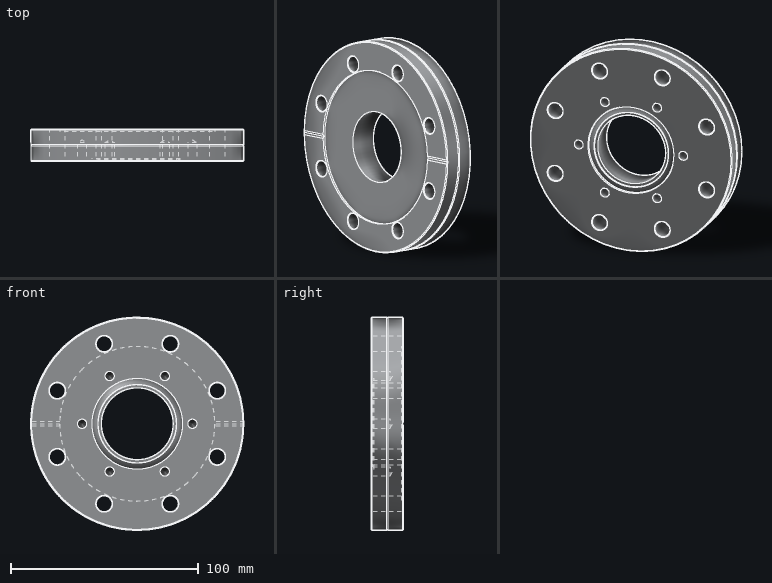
import cadquery as cq
import math

flange_diameter = 113.5
thickness = 17.3
front_y = -thickness / 2
back_y = thickness / 2
rim_chamfer = 0.5

rim_groove_width = 1.0
rim_groove_depth = 0.25

bore_diameter = 38.1
counterbore_diameter = 41.6
counterbore_depth = 1.2
crest_diameter = 41.9
crest_depth = 0.6
relief_diameter = 48.26
relief_depth = 1.7

recess_diameter = 82.5
recess_depth = 1.2
leak_slot_width = 2.2
leak_slot_depth = 0.6

bolt_count = 8
bolt_circle_diameter = 92.1
bolt_hole_diameter = 8.4
bolt_hole_chamfer = 0.3
bolt_first_angle = 180 / bolt_count

tap_count = 6
tap_circle_diameter = 58.7
tap_diameter = 4.92
tap_depth = 10.0
drill_point_angle = 118


def revolve_profile(points):
    """Revolve a closed outline of (radius, y) points about the Y axis."""
    return cq.Workplane("XY").polyline(points).close().revolve(360, (0, 0, 0), (0, 1, 0))


def place_on_circle(tool, circle_diameter, count, first_angle):
    """Copy a tool lying on the Y axis around a circle centred on that axis."""
    on_circle = tool.translate((circle_diameter / 2, 0, 0))
    copies = cq.Workplane("XY")
    for index in range(count):
        angle = first_angle + index * 360 / count
        copies = copies.add(on_circle.rotate((0, 0, 0), (0, 1, 0), angle))
    return copies.combine()


def make_disc():
    radius = flange_diameter / 2
    bore_radius = bore_diameter / 2
    return revolve_profile([
        (bore_radius, front_y),
        (radius - rim_chamfer, front_y),
        (radius, front_y + rim_chamfer),
        (radius, back_y - rim_chamfer),
        (radius - rim_chamfer, back_y),
        (bore_radius, back_y),
    ])


def make_rim_groove():
    radius = flange_diameter / 2
    half_width = rim_groove_width / 2
    return (
        cq.Workplane("XY")
        .moveTo(radius, -half_width)
        .threePointArc((radius - rim_groove_depth, 0), (radius, half_width))
        .close()
        .revolve(360, (0, 0, 0), (0, 1, 0))
    )


def make_weld_relief():
    """Stepped mouth of the bore: counterbore, narrow crest, cone, then a straight outer wall."""
    counterbore_radius = counterbore_diameter / 2
    crest_radius = crest_diameter / 2
    relief_radius = relief_diameter / 2
    return revolve_profile([
        (0, front_y),
        (relief_radius, front_y),
        (relief_radius, front_y + relief_depth),
        (crest_radius, front_y + crest_depth),
        (counterbore_radius, front_y + crest_depth),
        (counterbore_radius, front_y + counterbore_depth),
        (0, front_y + counterbore_depth),
    ])


def make_gasket_recess():
    recess_radius = recess_diameter / 2
    return revolve_profile([
        (0, back_y - recess_depth),
        (recess_radius, back_y - recess_depth),
        (recess_radius, back_y),
        (0, back_y),
    ])


def make_leak_slots():
    """V slot across the whole sealing face, leaving one leak path at each end of the X axis."""
    half_width = leak_slot_width / 2
    return (
        cq.Workplane("YZ")
        .polyline([(back_y, -half_width), (back_y - leak_slot_depth, 0), (back_y, half_width)])
        .close()
        .extrude(flange_diameter / 2, both=True)
    )


def make_bolt_holes():
    radius = bolt_hole_diameter / 2
    mouth_radius = radius + bolt_hole_chamfer
    hole = revolve_profile([
        (0, front_y),
        (mouth_radius, front_y),
        (radius, front_y + bolt_hole_chamfer),
        (radius, back_y - bolt_hole_chamfer),
        (mouth_radius, back_y),
        (0, back_y),
    ])
    return place_on_circle(hole, bolt_circle_diameter, bolt_count, bolt_first_angle)


def make_tap_holes():
    radius = tap_diameter / 2
    point_length = radius / math.tan(math.radians(drill_point_angle / 2))
    hole = revolve_profile([
        (0, front_y),
        (radius, front_y),
        (radius, front_y + tap_depth),
        (0, front_y + tap_depth + point_length),
    ])
    return place_on_circle(hole, tap_circle_diameter, tap_count, 0)


result = (
    make_disc()
    .cut(make_rim_groove())
    .cut(make_weld_relief())
    .cut(make_gasket_recess())
    .cut(make_leak_slots())
    .cut(make_bolt_holes())
    .cut(make_tap_holes())
)